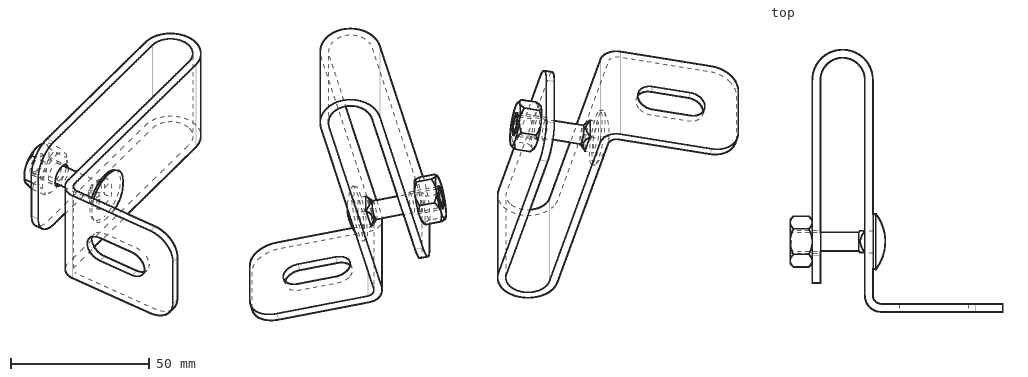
import cadquery as cq
import math

strip_width = 40.0
thickness = 3.0
inner_gap = 16.0
bracket_depth = 95.0
leg_length = 50.0
bend_inner_radius = 3.0
corner_radius = 10.0
flap_end_y = 10.5
slot_length = 25.0
slot_width = 11.0
slot_from_leg_end = 25.0

u_outer_width = inner_gap + 2 * thickness
u_outer_radius = u_outer_width / 2
u_inner_radius = inner_gap / 2
u_center_y = bracket_depth - u_outer_radius
wall_inner_x = thickness + inner_gap
wall_outer_x = u_outer_width
bend_outer_radius = bend_inner_radius + thickness
bend_center_x = wall_inner_x + bend_outer_radius
leg_end_x = wall_inner_x + leg_length

bolt_from_flap_end = 15.0
bolt_y = flap_end_y + bolt_from_flap_end
shank_diameter = 6.9
tip_diameter = 6.0
neck_width = 8.0
neck_length = 5.15
head_base_diameter = 19.6
head_diameter = 20.3
head_rim_height = 1.0
head_height = 4.5

nut_across_flats = 16.0
nut_height = 8.0
nut_bore_diameter = 8.4
flap_hole_diameter = nut_bore_diameter
nut_outer_x = -nut_height


def bolt_cylinder(start_x, end_x, diameter):
    """Solid cylinder on the bolt axis."""
    return (
        cq.Workplane("YZ", origin=(start_x, bolt_y, 0))
        .circle(diameter / 2)
        .extrude(end_x - start_x)
    )


def square_bar(start_x, end_x):
    """Square bar on the bolt axis with the section of the bolt neck."""
    return (
        cq.Workplane("YZ", origin=(start_x, bolt_y, 0))
        .rect(neck_width, neck_width)
        .extrude(end_x - start_x)
    )


def revolve_on_bolt_axis(half_profile):
    """Turn a profile of (distance along X, radius) around the bolt axis."""
    return half_profile.close().revolve(360, (0, 0, 0), (1, 0, 0))


def bolt_profile(start_x):
    """Workplane for a turned profile, with its origin on the bolt axis."""
    return cq.Workplane("XY", origin=(start_x, bolt_y, 0))


def make_bracket():
    bend_mid = math.sqrt(0.5)
    outer_bend_point = (
        bend_center_x - bend_outer_radius * bend_mid,
        bend_outer_radius * (1 - bend_mid),
    )
    inner_bend_point = (
        bend_center_x - bend_inner_radius * bend_mid,
        bend_outer_radius - bend_inner_radius * bend_mid,
    )
    strip = (
        cq.Workplane("XY", origin=(0, 0, -strip_width / 2))
        .moveTo(0, flap_end_y)
        .lineTo(0, u_center_y)
        .threePointArc((u_outer_radius, bracket_depth), (wall_outer_x, u_center_y))
        .lineTo(wall_outer_x, bend_outer_radius)
        .threePointArc(inner_bend_point, (bend_center_x, thickness))
        .lineTo(leg_end_x, thickness)
        .lineTo(leg_end_x, 0)
        .lineTo(bend_center_x, 0)
        .threePointArc(outer_bend_point, (wall_inner_x, bend_outer_radius))
        .lineTo(wall_inner_x, u_center_y)
        .threePointArc((u_outer_radius, u_center_y + u_inner_radius), (thickness, u_center_y))
        .lineTo(thickness, flap_end_y)
        .close()
        .extrude(strip_width)
    )
    flap_corners = cq.selectors.BoxSelector(
        (-1, flap_end_y - 1, -strip_width), (thickness + 1, flap_end_y + 1, strip_width)
    )
    strip = strip.edges("|X").edges(flap_corners).fillet(corner_radius)
    strip = strip.faces(">X").edges("|Y").fillet(corner_radius)

    leg_slot = (
        cq.Workplane("XZ", origin=(leg_end_x - slot_from_leg_end, 0, 0))
        .slot2D(slot_length, slot_width)
        .extrude(-thickness)
    )
    flap_hole = bolt_cylinder(0, thickness, flap_hole_diameter)
    wall_hole = square_bar(wall_inner_x, wall_outer_x)
    return strip.cut(leg_slot).cut(flap_hole).cut(wall_hole)


def make_bolt():
    tip_chamfer = (shank_diameter - tip_diameter) / 2
    shank = bolt_cylinder(nut_outer_x, wall_outer_x, shank_diameter).faces("<X").chamfer(tip_chamfer)

    neck_start_x = wall_outer_x - neck_length
    neck_end_radius = shank_diameter / 2 + neck_length
    neck_cone = revolve_on_bolt_axis(
        bolt_profile(neck_start_x)
        .moveTo(0, 0)
        .lineTo(0, shank_diameter / 2)
        .lineTo(neck_length, neck_end_radius)
        .lineTo(neck_length, 0)
    )
    neck = square_bar(neck_start_x, wall_outer_x).intersect(neck_cone)

    head_radius = head_diameter / 2
    dome_height = head_height - head_rim_height
    dome_radius = (head_radius**2 + dome_height**2) / (2 * dome_height)
    half_angle = math.asin(head_radius / dome_radius) / 2
    dome_mid_point = (
        head_height - dome_radius * (1 - math.cos(half_angle)),
        dome_radius * math.sin(half_angle),
    )
    head = revolve_on_bolt_axis(
        bolt_profile(wall_outer_x)
        .moveTo(0, 0)
        .lineTo(0, head_base_diameter / 2)
        .lineTo(head_rim_height, head_radius)
        .threePointArc(dome_mid_point, (head_height, 0))
    )
    return shank.union(neck).union(head)


def make_nut():
    across_corners = nut_across_flats / math.cos(math.pi / 6)
    corner_chamfer = (across_corners - nut_across_flats) / 2
    hexagon = (
        cq.Workplane("YZ", origin=(nut_outer_x, bolt_y, 0))
        .polygon(6, across_corners)
        .extrude(nut_height)
    )
    corner_trim = (
        bolt_cylinder(nut_outer_x, 0, across_corners).faces("<X or >X").chamfer(corner_chamfer)
    )
    return hexagon.intersect(corner_trim).cut(bolt_cylinder(nut_outer_x, 0, nut_bore_diameter))


bracket = make_bracket()
bolt = make_bolt()
nut = make_nut()

result = cq.Compound.makeCompound([bracket.val(), bolt.val(), nut.val()])